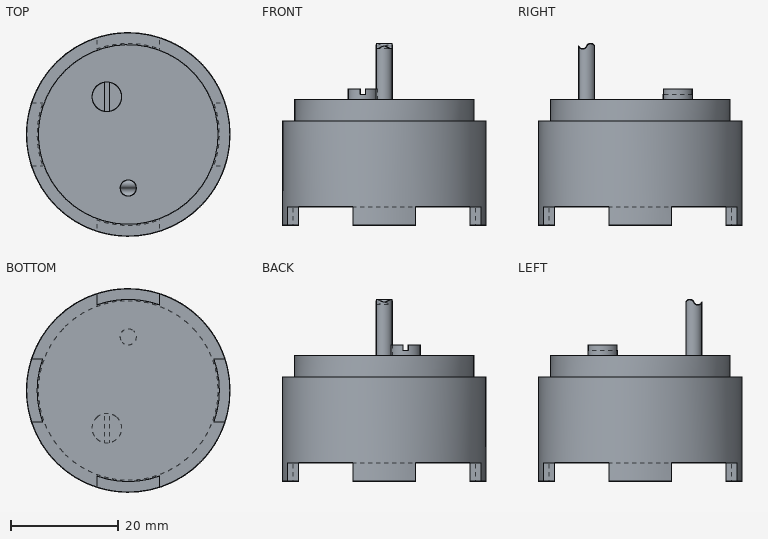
import cadquery as cq

body_diameter = 38.0
cap_diameter = 33.5
total_height = 33.97
leg_height = 3.5
shoulder_z = 19.55
cap_top_z = 23.52

leg_width = 11.75
leg_ring_inner_diameter = 34.0

screw_diameter = 5.5
screw_height = 1.98
screw_x = -4.0
screw_y = 7.03
screw_slot_width = 0.95
screw_slot_depth = 1.03

pin_diameter = 3.0
pin_y = -10.0
wave_amplitude = 0.5


def cylinder(diameter, bottom_z, top_z):
    """Vertical cylinder on the Z axis."""
    return cq.Workplane("XY").workplane(offset=bottom_z).circle(diameter / 2).extrude(top_z - bottom_z)


def make_legs():
    """Ring around the bottom, kept only where two crossed bars meet it."""
    ring = cylinder(body_diameter, 0, leg_height).cut(cylinder(leg_ring_inner_diameter, 0, leg_height))
    bar_along_x = cq.Workplane("XY").rect(body_diameter, leg_width).extrude(leg_height)
    bar_along_y = cq.Workplane("XY").rect(leg_width, body_diameter).extrude(leg_height)
    return ring.intersect(bar_along_x.union(bar_along_y))


def make_screw_head():
    """Round head with a straight slot along Y."""
    top_z = cap_top_z + screw_height
    head = cylinder(screw_diameter, cap_top_z, top_z)
    slot = (
        cq.Workplane("XY")
        .workplane(offset=top_z - screw_slot_depth)
        .rect(screw_slot_width, screw_diameter)
        .extrude(screw_slot_depth)
    )
    return head.cut(slot).translate((screw_x, screw_y, 0))


def make_pin():
    """Round pin whose tip has a hollow on the -Y half and a crest on the +Y half."""
    radius = pin_diameter / 2
    wave_middle_z = total_height - wave_amplitude
    wave_profile = (
        cq.Workplane("YZ")
        .moveTo(-radius, cap_top_z)
        .lineTo(-radius, wave_middle_z)
        .threePointArc((-radius / 2, wave_middle_z - wave_amplitude), (0, wave_middle_z))
        .threePointArc((radius / 2, total_height), (radius, wave_middle_z))
        .lineTo(radius, cap_top_z)
        .close()
        .extrude(radius, both=True)
    )
    return cylinder(pin_diameter, cap_top_z, total_height).intersect(wave_profile).translate((0, pin_y, 0))


housing = cylinder(body_diameter, leg_height, shoulder_z)
cap = cylinder(cap_diameter, shoulder_z, cap_top_z)

result = housing.union(cap).union(make_legs()).union(make_screw_head()).union(make_pin())